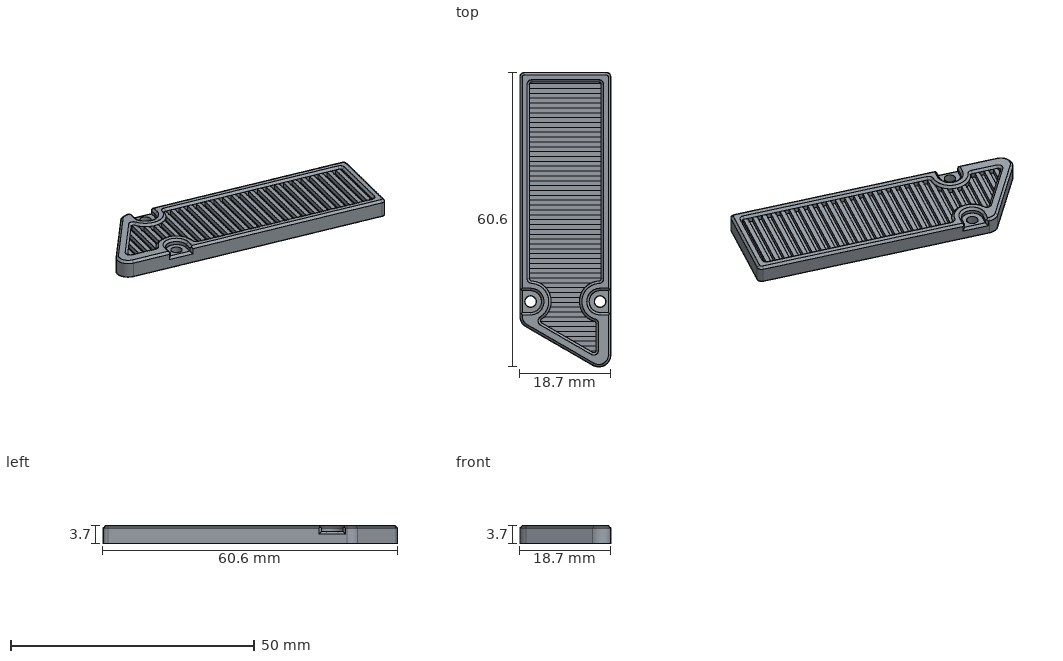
import cadquery as cq
import math

width = 18.7
length = 60.6
thickness = 3.7
chamfer = 0.5
nose_angle = 30.0
nose_radius = 2.5
back_radius = 0.95

hole_diameter = 2.3
hole_x = 7.15
hole_y = -16.85
seat_radius = 2.25
seat_depth = 1.2

pocket_margin = 2.0
pocket_nose_margin = 3.0
pocket_slant_margin = 2.3
pocket_corner_radius = 0.5
seat_to_pocket = 2.0

rib_pitch = 2.0
rib_width = rib_pitch / 2
rib_height = rib_width

half_width = width / 2
half_length = length / 2
slant_slope = math.tan(math.radians(nose_angle))
slant_cosine = math.cos(math.radians(nose_angle))
pocket_floor_z = thickness - chamfer - rib_height
sides = (-1, 1)


def slant_y(x, margin=0.0):
    """Y at x of the slanted end edge, moved inward by margin.

    The edge is tangent to the nose arc, which touches the plate's right side and its -Y end.
    """
    arc_x = half_width - nose_radius
    arc_y = nose_radius - half_length
    return arc_y + (margin - nose_radius) / slant_cosine - (x - arc_x) * slant_slope


def prism(points, z_low):
    """Solid on an outline of points, from z_low to the top of the plate."""
    return cq.Workplane("XY", origin=(0, 0, z_low)).polyline(points).close().extrude(thickness - z_low)


def hole_cylinder(side, radius, z_low=0.0):
    """Round solid on a hole axis, from z_low to the top of the plate."""
    return cq.Workplane("XY", origin=(side * hole_x, hole_y, z_low)).circle(radius).extrude(thickness - z_low)


def plate():
    left_end = slant_y(-half_width)
    body = prism(
        [
            (-half_width, half_length),
            (half_width, half_length),
            (half_width, slant_y(half_width)),
            (-half_width, left_end),
        ],
        0,
    )
    left_corner = cq.selectors.NearestToPointSelector((-half_width, left_end, thickness / 2))
    body = body.edges("|Z and <Y").fillet(nose_radius)
    body = body.edges(left_corner).fillet(nose_radius)
    return body.edges("|Z and >Y").fillet(back_radius)


def seat(side):
    """Round-ended seat around a hole, running out through the side of the plate."""
    floor_z = thickness - seat_depth
    run_out = (
        cq.Workplane("XY", origin=(side * (hole_x + half_width), hole_y, floor_z))
        .rect(width, 2 * seat_radius)
        .extrude(seat_depth)
    )
    return hole_cylinder(side, seat_radius, floor_z).union(run_out)


def seat_mouth(side):
    """Wedge that chamfers the floor and walls of a seat where it meets the side of the plate."""
    inner_width = 2 * seat_radius
    inner_height = 2 * seat_depth
    return (
        cq.Workplane("YZ", origin=(side * half_width, hole_y, thickness))
        .rect(inner_width + 2 * chamfer, inner_height + 2 * chamfer)
        .workplane(offset=-side * chamfer)
        .rect(inner_width, inner_height)
        .loft(ruled=True)
    )


def pocket():
    """Pocket that follows the plate outline and curves around both seats."""
    side_x = half_width - pocket_margin
    nose_x = half_width - pocket_nose_margin
    back_y = half_length - pocket_margin
    body = prism(
        [
            (-side_x, back_y),
            (side_x, back_y),
            (side_x, hole_y),
            (nose_x, hole_y),
            (nose_x, slant_y(nose_x, pocket_slant_margin)),
            (-side_x, slant_y(-side_x, pocket_slant_margin)),
        ],
        pocket_floor_z,
    )
    for side in sides:
        body = body.cut(hole_cylinder(side, seat_radius + seat_to_pocket, pocket_floor_z))
    return body.edges("|Z").fillet(pocket_corner_radius)


def ribs():
    """Bars across the full width, spaced both ways from the middle of the plate."""
    ribs_each_way = math.floor(half_length / rib_pitch)
    first_y = -ribs_each_way * rib_pitch - rib_width / 2
    centers = [(0, first_y + index * rib_pitch) for index in range(2 * ribs_each_way + 1)]
    return (
        cq.Workplane("XY", origin=(0, 0, pocket_floor_z))
        .pushPoints(centers)
        .rect(width, rib_width)
        .extrude(rib_height)
    )


pocket_body = pocket()
result = plate().cut(pocket_body)
for side in sides:
    result = result.cut(seat(side))

result = result.faces(">Z").edges().chamfer(chamfer)

for side in sides:
    result = result.cut(seat_mouth(side))
    result = result.cut(hole_cylinder(side, hole_diameter / 2))

result = result.union(ribs().intersect(pocket_body))